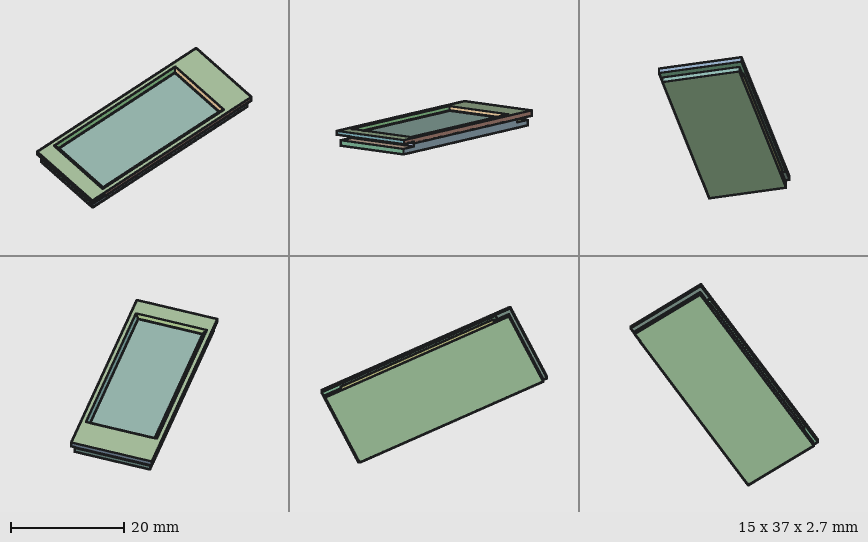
import cadquery as cq
plate_width = 15.0
plate_length = 37.0
plate_thickness = 1.0
lip_thickness = 0.7
lip_length = 2.92

recess_width = 13.17
recess_length = 28.2
recess_front_margin = 3.2
recess_chamfer = 0.6
recess_depth = 0.7

base_width = 14.0
base_length = 36.0
flange_thickness = 1.0
core_height = 0.7
flange_overhang = 3.0

seat_z = flange_thickness + core_height
top_z = seat_z + plate_thickness
plate_front_y = -plate_length / 2
core_length = base_length - 2 * flange_overhang


def centered_block(width, length, bottom_z, height):
    """Block centred on the Z axis, standing on bottom_z."""
    return cq.Workplane("XY").workplane(offset=bottom_z).rect(width, length).extrude(height)


def make_base():
    """Flange and raised core, one solid."""
    flange = centered_block(base_width, base_length, 0, flange_thickness)
    core = centered_block(base_width, core_length, flange_thickness, core_height)
    return flange.union(core)


def make_recess_cutter():
    """Short straight-walled well that opens upward in a 45 degree frustum."""
    recess_center_y = plate_front_y + recess_front_margin + recess_length / 2
    floor_width = recess_width - 2 * recess_chamfer
    floor_length = recess_length - 2 * recess_chamfer
    frustum = (
        cq.Workplane("XY")
        .workplane(offset=top_z)
        .center(0, recess_center_y)
        .rect(recess_width, recess_length)
        .workplane(offset=-recess_chamfer)
        .rect(floor_width, floor_length)
        .loft(ruled=True, combine=True)
    )
    well = centered_block(floor_width, floor_length, top_z - recess_depth, recess_depth)
    return frustum.union(well.translate((0, recess_center_y, 0)))


def make_cover_plate():
    """Side profile with the thin front lip, extruded across X, then the recess."""
    lip_bottom_z = top_z - lip_thickness
    lip_back_y = plate_front_y + lip_length
    plate_back_y = plate_front_y + plate_length
    profile = [
        (plate_front_y, top_z),
        (plate_front_y, lip_bottom_z),
        (lip_back_y, lip_bottom_z),
        (lip_back_y, seat_z),
        (plate_back_y, seat_z),
        (plate_back_y, top_z),
    ]
    plate = cq.Workplane("YZ").polyline(profile).close().extrude(plate_width / 2, both=True)
    return plate.cut(make_recess_cutter())


base = make_base()
cover_plate = make_cover_plate()

result = cq.Compound.makeCompound([base.val(), cover_plate.val()])